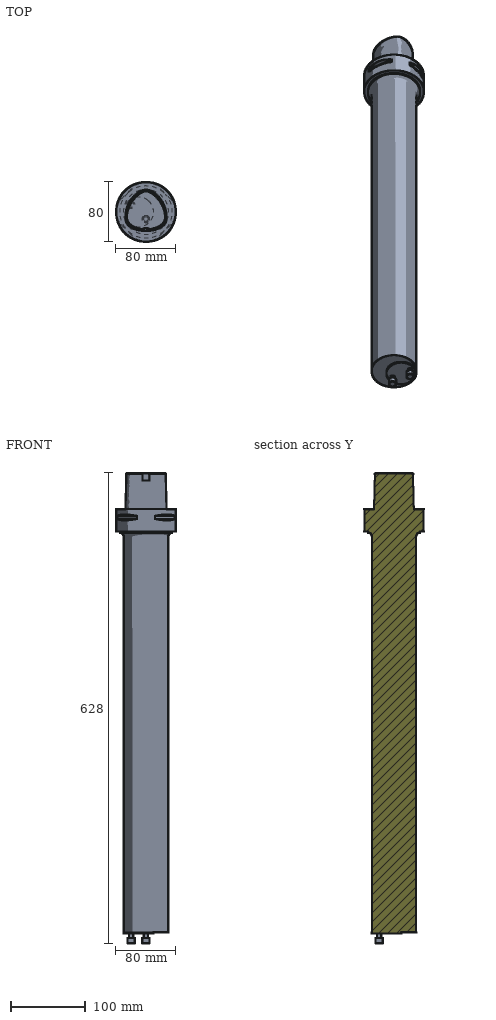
import cadquery as cq
import math

SHANK_LENGTH = 48.0
SHANK_MEAN_DIAMETER = 55.3
SHANK_LOBE = 2.1
TAPER_RATIO = 20.0
SHANK_POINTS = 36
SHANK_CHAMFER = 1.0

RECESS_DIAMETER = 10.0
RECESS_DEPTH = 3.0
RECESS_HEIGHT = 9.8

FLANGE_DIAMETER = 80.0
FLANGE_HEIGHT = 30.0
NOTCH_COUNT = 4
NOTCH_FIRST_ANGLE = 45.0
NOTCH_DROP = 11.0
NOTCH_DEPTH = 4.5
NOTCH_MOUTH = 8.0
NOTCH_FLOOR = 4.0

COLLAR_DIAMETER = 70.0
COLLAR_HEIGHT = 1.5
BAR_DIAMETER = 60.0
COLLAR_FILLET = (COLLAR_DIAMETER - BAR_DIAMETER) / 2

TOTAL_LENGTH = 628.0
SPIGOT_DIAMETER = 40.0
SPIGOT_HEIGHT = 1.7
SPIGOT_OFFSET = (SPIGOT_DIAMETER - BAR_DIAMETER) / 2
PIN_NECK_DIAMETER = 6.0
PIN_NECK_LENGTH = 5.7
PIN_HEAD_DIAMETER = 10.0
PIN_HEAD_LENGTH = 7.5
PIN_HEAD_CHAMFER = 0.5
PIN_SPACING_X = 19.5
PIN_SPACING_Y = 19.0

PIN_END_Z = SHANK_LENGTH - TOTAL_LENGTH
SPIGOT_END_Z = PIN_END_Z + PIN_NECK_LENGTH + PIN_HEAD_LENGTH
BAR_END_Z = SPIGOT_END_Z + SPIGOT_HEIGHT
COLLAR_END_Z = -FLANGE_HEIGHT - COLLAR_HEIGHT


def lobed_outline(mean_radius, lobe):
    """Points of a constant-width three-lobed curve with one lobe toward +Y."""
    points = []
    for i in range(SHANK_POINTS):
        angle = 2 * math.pi * i / SHANK_POINTS
        support = mean_radius - lobe * math.sin(3 * angle)
        slope = -3 * lobe * math.cos(3 * angle)
        x = support * math.cos(angle) - slope * math.sin(angle)
        y = support * math.sin(angle) + slope * math.cos(angle)
        points.append((x, y))
    return points


def make_shank():
    base_radius = SHANK_MEAN_DIAMETER / 2
    top_radius = base_radius - SHANK_LENGTH / TAPER_RATIO / 2
    shank = (
        cq.Workplane("XY")
        .spline(lobed_outline(base_radius, SHANK_LOBE), periodic=True).close()
        .workplane(offset=SHANK_LENGTH)
        .spline(lobed_outline(top_radius, SHANK_LOBE), periodic=True).close()
        .loft(ruled=True)
    )
    shank = shank.faces(">Z").edges().chamfer(SHANK_CHAMFER)
    recess_radius = RECESS_DIAMETER / 2
    recess_y = SHANK_LOBE - top_radius + RECESS_DEPTH - recess_radius
    recess = (
        cq.Workplane("XY", origin=(0, recess_y, SHANK_LENGTH - RECESS_HEIGHT))
        .circle(recess_radius)
        .extrude(RECESS_HEIGHT)
    )
    return shank.cut(recess)


def make_turned_body():
    """Flange, collar, fillet and bar as one revolved profile in the XZ plane."""
    fillet_inset = COLLAR_FILLET * (1 - math.sqrt(0.5))
    return (
        cq.Workplane("XZ")
        .moveTo(0, 0)
        .lineTo(FLANGE_DIAMETER / 2, 0)
        .lineTo(FLANGE_DIAMETER / 2, -FLANGE_HEIGHT)
        .lineTo(COLLAR_DIAMETER / 2, -FLANGE_HEIGHT)
        .lineTo(COLLAR_DIAMETER / 2, COLLAR_END_Z)
        .threePointArc(
            (BAR_DIAMETER / 2 + fillet_inset, COLLAR_END_Z - fillet_inset),
            (BAR_DIAMETER / 2, COLLAR_END_Z - COLLAR_FILLET),
        )
        .lineTo(BAR_DIAMETER / 2, BAR_END_Z)
        .lineTo(0, BAR_END_Z)
        .close()
        .revolve()
    )


def make_notch(angle):
    """Straight trapezoidal groove across the flange rim."""
    rim = FLANGE_DIAMETER / 2
    return (
        cq.Workplane("XZ")
        .moveTo(rim - NOTCH_DEPTH, -NOTCH_DROP - NOTCH_FLOOR / 2)
        .lineTo(rim - NOTCH_DEPTH, -NOTCH_DROP + NOTCH_FLOOR / 2)
        .lineTo(rim, -NOTCH_DROP + NOTCH_MOUTH / 2)
        .lineTo(rim, -NOTCH_DROP - NOTCH_MOUTH / 2)
        .close()
        .extrude(rim, both=True)
        .rotate((0, 0, 0), (0, 0, 1), angle)
    )


def make_spigot():
    return (
        cq.Workplane("XY", origin=(SPIGOT_OFFSET, 0, SPIGOT_END_Z))
        .circle(SPIGOT_DIAMETER / 2)
        .extrude(SPIGOT_HEIGHT)
    )


def make_pin(x, y):
    head = (
        cq.Workplane("XY", origin=(x, y, PIN_END_Z))
        .circle(PIN_HEAD_DIAMETER / 2)
        .extrude(PIN_HEAD_LENGTH)
        .faces("<Z").edges().chamfer(PIN_HEAD_CHAMFER)
    )
    return head.faces(">Z").workplane().circle(PIN_NECK_DIAMETER / 2).extrude(PIN_NECK_LENGTH)


result = make_turned_body().union(make_shank())
for i in range(NOTCH_COUNT):
    result = result.cut(make_notch(NOTCH_FIRST_ANGLE + i * 360 / NOTCH_COUNT))
result = result.union(make_spigot())
for side in (-1, 1):
    pin_x = SPIGOT_OFFSET + side * PIN_SPACING_X / 2
    result = result.union(make_pin(pin_x, -side * PIN_SPACING_Y / 2))